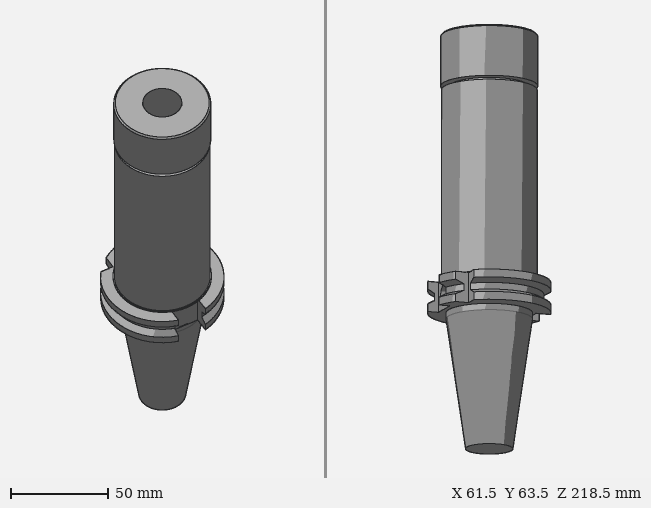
import cadquery as cq
import math

total_height = 218.5
gauge_height = 68.4
flange_bottom = gauge_height + 3.3
flange_thickness = 16.0
flange_top = flange_bottom + flange_thickness
flange_middle = flange_bottom + flange_thickness / 2
collar_thickness = 0.7
body_top = 189.4
nut_bottom = 191.3

taper_small_radius = 12.2
taper_large_radius = 22.3
flange_radius = 63.5 / 2
collar_radius = 25.3
body_radius = 24.7
neck_radius = 20.0
nut_radius = 50.0 / 2
nut_chamfer = 0.9

groove_floor_radius = 28.2
groove_floor_width = 3.5
groove_flank_angle = 30.0

slot_width = 16.0
left_slot_floor = 25.0
right_slot_floor = 22.7
notch_offset = 18.5
coding_hole_diameter = 10.0
coding_hole_depth = 4.4
bore_diameter = 20.0
bore_depth = 65.5


def cylinder(radius, bottom, top):
    return cq.Workplane("XY").workplane(offset=bottom).circle(radius).extrude(top - bottom)


def make_taper():
    """Conical shank with a short cylinder between its gauge line and the flange."""
    profile = [
        (0, 0),
        (taper_small_radius, 0),
        (taper_large_radius, gauge_height),
        (taper_large_radius, flange_bottom),
        (0, flange_bottom),
    ]
    return cq.Workplane("XZ").polyline(profile).close().revolve(360, (0, 0), (0, 1))


def make_grooved_flange():
    floor_half = groove_floor_width / 2
    flank_rise = (flange_radius - groove_floor_radius) * math.tan(math.radians(groove_flank_angle))
    mouth_half = floor_half + flank_rise
    profile = [
        (0, flange_bottom),
        (flange_radius, flange_bottom),
        (flange_radius, flange_middle - mouth_half),
        (groove_floor_radius, flange_middle - floor_half),
        (groove_floor_radius, flange_middle + floor_half),
        (flange_radius, flange_middle + mouth_half),
        (flange_radius, flange_top),
        (0, flange_top),
    ]
    return cq.Workplane("XZ").polyline(profile).close().revolve(360, (0, 0), (0, 1))


def flange_cutter(x_min, x_max, y_min, y_max):
    """Block spanning the full flange thickness."""
    size = (x_max - x_min, y_max - y_min, flange_thickness)
    return cq.Workplane("XY").box(*size, centered=False).translate((x_min, y_min, flange_bottom))


def make_flange():
    half_slot = slot_width / 2
    left_slot = flange_cutter(-flange_radius, -left_slot_floor, -half_slot, half_slot)
    right_slot = flange_cutter(right_slot_floor, flange_radius, -half_slot, half_slot)
    notch = flange_cutter(-flange_radius, -notch_offset, -flange_radius, -notch_offset)
    return make_grooved_flange().cut(left_slot).cut(right_slot).cut(notch)


def make_nut():
    nut = cylinder(nut_radius, nut_bottom, total_height)
    return nut.faces(">Z").chamfer(nut_chamfer)


def make_bore():
    return cylinder(bore_diameter / 2, total_height - bore_depth, total_height)


def make_coding_hole():
    """Blind radial hole in the floor of the left drive slot."""
    plane = cq.Workplane("YZ", origin=(-left_slot_floor, 0, flange_middle))
    return plane.circle(coding_hole_diameter / 2).extrude(coding_hole_depth)


collar = cylinder(collar_radius, flange_top, flange_top + collar_thickness)
body = cylinder(body_radius, flange_top, body_top)
neck = cylinder(neck_radius, body_top, nut_bottom)

result = make_taper().union(make_flange()).union(collar).union(body).union(neck).union(make_nut())
result = result.cut(make_bore()).cut(make_coding_hole())